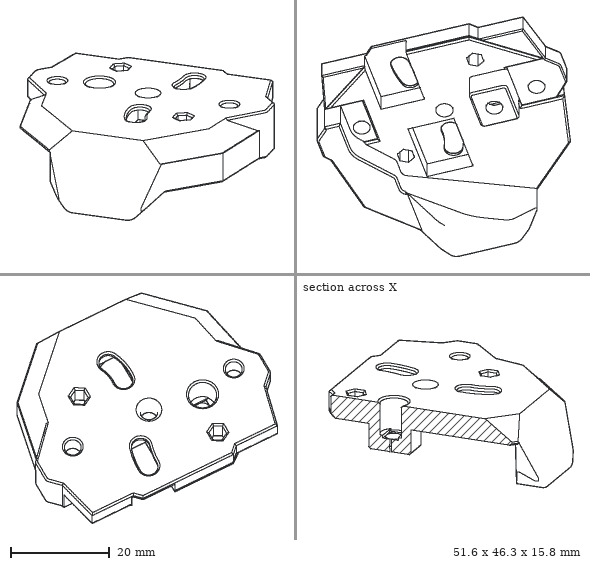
import cadquery as cq
import math

EAR_THICKNESS = 4.4
PLATE_THICKNESS = 5.0
SKIRT_HEIGHT = 4.2
LEG_DEPTH = 10.4
TOTAL_DEPTH = 15.81

HALF_WIDTH = 51.59 / 2
REAR_Y = 16.8
TAB_HALF_WIDTH = 10.35
SHOULDER_Y = 15.33
SHOULDER_HALF_WIDTH = 21.3
NECK = (23.4, 6.5)
EAR_REAR_Y = 4.1
EAR_FRONT_Y = -0.6
EAR_INNER = (19.3, -7.7)
EAR_RADIUS = 1.2

SKIRT_DRAFT = 45
SKIRT_REAR_Y = 3.0
SKIRT_CORNER = (21.85, -15.75)
SKIRT_CORNER_RADIUS = 0.5
SIDE_ANGLE = 11.4
FRONT_TOP_Y = -24.06
FRONT_DRAFT = 20.1
NOSE_Y = -32.0

PAD_CORNER_X = 23.0
PAD_HALF_WIDTH = 15.25
RIM_REAR_Y = -3.7

LEG_REAR_Y = 6.95
BLOCK_FRONT_Y = -2.4
BLOCK_RADIUS = 0.85

BAY_REAR_CORNER = (19.9, -1.5)
BAY_REAR_RADIUS = 5.0
BAY_WALL_X = 13.2
BAY_WALL_REAR_Y = -9.8
BAY_WALL_FRONT_Y = -14.0
BAY_MOUTH = (-12.15, -25.45)
BAY_RADIUS = 1.5
BAY_MOUTH_RADIUS = 0.5

FIN_HALF_WIDTH = 6.9
FIN_RADIUS = 2.7
FIN_REAR_BOTTOM_Y = -19.8
FIN_EDGE_RADIUS = 0.7

TOP_CHAMFER = 0.4
BOTTOM_CHAMFER = 0.4
EAR_BOTTOM_CHAMFER = 0.3
HOLE_CHAMFER = 0.4

LEFT_HOLE_X = -19.5
RIGHT_HOLE_X = 17.5
SIDE_HOLE_DIAMETER = 3.4
CENTRE_HOLE_DIAMETER = 3.5
CENTRE_MOUTH_RADIUS = 2.6
CENTRE_LIP_RADIUS = 0.85
SCREW_POSITION = (-11.2, 2.1)
SCREW_HEAD_DIAMETER = 5.7
SCREW_HEAD_DEPTH = 7.0
SCREW_DIAMETER = 3.4
SCREW_STEP = 0.3
REAR_HEX = (-9.88, 11.03)
FRONT_HEX = (10.99, -9.29)
HEX_ACROSS_FLATS = 3.1
SLOT_WIDTH = 3.8
REAR_SLOT_RADIUS = 15.9
REAR_SLOT_ANGLES = (-17.0, 0.0)
FRONT_SLOT_RADIUS = 9.72
FRONT_SLOT_ANGLES = (175.0, 204.8)

SLOT_FLOOR_THICKNESS = 1.05
REAR_POCKET = ((3.0, 12.2), (4.0, 20.0))
FRONT_POCKET = ((-1.2, 8.5), (-15.8, -2.6))

LEG_TOP_Z = -EAR_THICKNESS + BOTTOM_CHAMFER
FAR = 40.0


def mirrored(right_side):
    """Close an outline given its right half, listed from rear to front."""
    return right_side + [(-x, y) for x, y in reversed(right_side)]


def polar(radius, angle):
    return (radius * math.cos(math.radians(angle)), radius * math.sin(math.radians(angle)))


def rectangle(x_range, y_range):
    x_min, x_max = x_range
    y_min, y_max = y_range
    return [(x_min, y_min), (x_max, y_min), (x_max, y_max), (x_min, y_max)]


def prism(points, z_bottom, z_top):
    base = cq.Workplane("XY").workplane(offset=z_bottom)
    return base.polyline(points).close().extrude(z_top - z_bottom)


def box_around(x, y, reach=0.5):
    """Selector for edges centred near a vertical line."""
    return cq.selectors.BoxSelector((x - reach, y - reach, -FAR), (x + reach, y + reach, FAR))


def skirt_outline(rear_y):
    corner_x, corner_y = SKIRT_CORNER
    rear_x = corner_x + (rear_y - corner_y) * math.tan(math.radians(SIDE_ANGLE))
    nose_x = corner_x - (corner_y - NOSE_Y)
    return mirrored([(rear_x, rear_y), SKIRT_CORNER, (nose_x, NOSE_Y)])


def ear_plate(depth):
    tab_step = REAR_Y - SHOULDER_Y
    outline = mirrored([
        (TAB_HALF_WIDTH, REAR_Y),
        (TAB_HALF_WIDTH + tab_step, SHOULDER_Y),
        (SHOULDER_HALF_WIDTH, SHOULDER_Y),
        NECK,
        (HALF_WIDTH, EAR_REAR_Y),
        (HALF_WIDTH, EAR_FRONT_Y),
        EAR_INNER,
    ])
    plate = prism(outline, -depth, 0)
    for x in (-HALF_WIDTH, HALF_WIDTH):
        for y in (EAR_REAR_Y, EAR_FRONT_Y):
            plate = plate.edges("|Z").edges(box_around(x, y)).fillet(EAR_RADIUS)
    return plate


def front_cutter():
    """Everything in front of the sloped front face."""
    bottom_y = FRONT_TOP_Y - FAR * math.tan(math.radians(FRONT_DRAFT))
    profile = [(FRONT_TOP_Y, 0), (bottom_y, -FAR), (-2 * FAR, -FAR), (-2 * FAR, 0)]
    return cq.Workplane("YZ").polyline(profile).close().extrude(FAR, both=True)


def upper_body():
    ears = ear_plate(EAR_THICKNESS).faces(">Z").chamfer(TOP_CHAMFER)
    ears = ears.faces("<Z").chamfer(EAR_BOTTOM_CHAMFER)
    skirt = (
        cq.Workplane("XY").workplane(offset=-SKIRT_HEIGHT)
        .polyline(skirt_outline(SKIRT_REAR_Y)).close().extrude(SKIRT_HEIGHT, taper=SKIRT_DRAFT)
    )
    rim = prism(skirt_outline(RIM_REAR_Y), -PLATE_THICKNESS, -SKIRT_HEIGHT)
    for side in (-1, 1):
        corner_x, corner_y = (side * SKIRT_CORNER[0], SKIRT_CORNER[1])
        middle = (corner_x - side * SKIRT_HEIGHT / 2, corner_y + SKIRT_HEIGHT / 4)
        skirt = skirt.edges("not #Z").edges(box_around(*middle, reach=2.0)).fillet(SKIRT_CORNER_RADIUS)
        rim = rim.edges("|Z").edges(box_around(corner_x, corner_y)).fillet(SKIRT_CORNER_RADIUS)
    pad_outline = mirrored([
        (TAB_HALF_WIDTH, REAR_Y),
        (PAD_CORNER_X, LEG_REAR_Y),
        (PAD_HALF_WIDTH, LEG_REAR_Y),
        (PAD_HALF_WIDTH, RIM_REAR_Y),
    ])
    pad = prism(pad_outline, -PLATE_THICKNESS, -SKIRT_HEIGHT)
    base = rim.union(pad).faces("<Z").chamfer(BOTTOM_CHAMFER)
    return ears.union(skirt).union(base).cut(front_cutter())


def bay():
    mouth_x, mouth_y = BAY_MOUTH
    wall_slope = (BAY_WALL_FRONT_Y - mouth_y) / (BAY_WALL_X - mouth_x)
    rear_corner_x = BAY_REAR_CORNER[0]
    points = [
        (-FAR, FAR),
        (rear_corner_x, FAR),
        BAY_REAR_CORNER,
        (BAY_WALL_X, BAY_WALL_REAR_Y),
        (BAY_WALL_X, BAY_WALL_FRONT_Y),
        (-FAR, mouth_y - wall_slope * (FAR + mouth_x)),
    ]
    cutter = prism(points, -FAR, 0)
    cutter = cutter.edges("|Z").edges(box_around(*BAY_REAR_CORNER)).fillet(BAY_REAR_RADIUS)
    cutter = cutter.edges("|Z").edges(box_around(BAY_WALL_X, BAY_WALL_REAR_Y)).fillet(BAY_RADIUS)
    return cutter.edges("|Z").edges(box_around(BAY_WALL_X, BAY_WALL_FRONT_Y)).fillet(BAY_RADIUS)


def lower_body(depth):
    """Right leg and nose wall, carried from just inside the plate straight down to a depth."""
    body = ear_plate(depth).union(prism(skirt_outline(SKIRT_REAR_Y), -depth, 0))
    front_zone = rectangle((-FAR, FAR), (-FAR, LEG_REAR_Y))
    body = body.intersect(prism(front_zone, -depth, LEG_TOP_Z)).cut(bay())
    return body.edges("|Z").edges(box_around(*BAY_MOUTH)).fillet(BAY_MOUTH_RADIUS)


def leg():
    return lower_body(LEG_DEPTH).faces("<Z").chamfer(BOTTOM_CHAMFER).cut(front_cutter())


def screw_block():
    left_x = -PAD_HALF_WIDTH
    right_x = 2 * SCREW_POSITION[0] - left_x
    block = prism(rectangle((left_x, right_x), (BLOCK_FRONT_Y, LEG_REAR_Y)), -LEG_DEPTH, LEG_TOP_Z)
    return block.edges("|Z").fillet(BLOCK_RADIUS).faces("<Z").chamfer(BOTTOM_CHAMFER)


def fin():
    """Trapezoid under the nose, with 45 degree flanks and a 45 degree rear underside."""
    rise = TOTAL_DEPTH + LEG_TOP_Z
    section = [
        (-FIN_HALF_WIDTH - rise, LEG_TOP_Z),
        (-FIN_HALF_WIDTH, -TOTAL_DEPTH),
        (FIN_HALF_WIDTH, -TOTAL_DEPTH),
        (FIN_HALF_WIDTH + rise, LEG_TOP_Z),
    ]
    flanks = cq.Workplane("XZ").polyline(section).close().extrude(FAR)
    flanks = flanks.edges("|Y").edges("<Z").fillet(FIN_RADIUS).cut(front_cutter())
    flanks = flanks.faces("<Y").edges("not >Z").fillet(FIN_EDGE_RADIUS)
    side = [
        (-FAR, LEG_TOP_Z),
        (FIN_REAR_BOTTOM_Y + rise, LEG_TOP_Z),
        (FIN_REAR_BOTTOM_Y, -TOTAL_DEPTH),
        (-FAR, -TOTAL_DEPTH),
    ]
    underside = cq.Workplane("YZ").polyline(side).close().extrude(FAR, both=True)
    underside = underside.edges("|X and <Z").edges(">Y").fillet(FIN_RADIUS)
    return lower_body(TOTAL_DEPTH).intersect(flanks).intersect(underside)


def slot_pocket(x_range, y_range):
    return prism(rectangle(x_range, y_range), -PLATE_THICKNESS, -SLOT_FLOOR_THICKNESS)


def chamfered_cutter(outline, depth=FAR):
    """Cutter with a 45 degree flare at the top face; outline(plane, growth) draws its section."""
    shaft = outline(cq.Workplane("XY"), 0).extrude(-depth)
    narrow = outline(cq.Workplane("XY").workplane(offset=-HOLE_CHAMFER), 0)
    flare = outline(narrow.workplane(offset=HOLE_CHAMFER), HOLE_CHAMFER).loft(ruled=True)
    return shaft.union(flare)


def round_hole(position, diameter, depth=FAR):
    def outline(plane, growth):
        return plane.circle(diameter / 2 + growth)

    return chamfered_cutter(outline, depth).translate((*position, 0))


def centre_hole():
    """Bore whose 45 degree countersink runs into it through a rounded lip."""
    radius = CENTRE_HOLE_DIAMETER / 2
    half_turn = math.radians(22.5)
    lip_centre = radius + CENTRE_LIP_RADIUS
    lean = CENTRE_LIP_RADIUS * math.cos(2 * half_turn)
    lip_start = (lip_centre - lean, lip_centre - lean - CENTRE_MOUTH_RADIUS)
    lip_bottom = lip_start[1] - lean
    lip_middle = (
        lip_centre - CENTRE_LIP_RADIUS * math.cos(half_turn),
        lip_bottom + CENTRE_LIP_RADIUS * math.sin(half_turn),
    )
    return (
        cq.Workplane("XZ")
        .moveTo(0, 0)
        .lineTo(CENTRE_MOUTH_RADIUS, 0)
        .lineTo(*lip_start)
        .threePointArc(lip_middle, (radius, lip_bottom))
        .lineTo(radius, -FAR)
        .lineTo(0, -FAR)
        .close()
        .revolve(360, (0, 0), (0, 1))
    )


def screw_hole():
    """Head recess, then a slot and a square step down to the round shank hole."""
    head = round_hole(SCREW_POSITION, SCREW_HEAD_DIAMETER, SCREW_HEAD_DEPTH)
    base = cq.Workplane("XY").center(*SCREW_POSITION)
    slot = base.circle(SCREW_HEAD_DIAMETER / 2).extrude(-SCREW_HEAD_DEPTH - SCREW_STEP)
    slot = slot.intersect(base.rect(SCREW_HEAD_DIAMETER, SCREW_DIAMETER).extrude(-FAR))
    square = base.rect(SCREW_DIAMETER, SCREW_DIAMETER).extrude(-SCREW_HEAD_DEPTH - 2 * SCREW_STEP)
    shank = base.circle(SCREW_DIAMETER / 2).extrude(-FAR)
    return head.union(slot).union(square).union(shank)


def hex_hole(position):
    def outline(plane, growth):
        corner_radius = (HEX_ACROSS_FLATS + 2 * growth) / math.sqrt(3)
        return plane.polyline([polar(corner_radius, 60 * i + 30) for i in range(6)]).close()

    return chamfered_cutter(outline).translate((*position, 0))


def arc_slot(pivot, radius, angles):
    """Slot with round ends, curved about a pivot."""
    start, end = angles
    middle = (start + end) / 2

    def outline(plane, growth):
        half_width = SLOT_WIDTH / 2 + growth
        inner = radius - half_width
        outer = radius + half_width
        start_x, start_y = polar(radius, start)
        end_x, end_y = polar(radius, end)
        start_dx, start_dy = polar(half_width, start - 90)
        end_dx, end_dy = polar(half_width, end + 90)
        return (
            plane.moveTo(*polar(inner, start))
            .threePointArc(polar(inner, middle), polar(inner, end))
            .threePointArc((end_x + end_dx, end_y + end_dy), polar(outer, end))
            .threePointArc(polar(outer, middle), polar(outer, start))
            .threePointArc((start_x + start_dx, start_y + start_dy), polar(inner, start))
            .close()
        )

    return chamfered_cutter(outline).translate((*pivot, 0))


cutters = [
    round_hole((LEFT_HOLE_X, 0), SIDE_HOLE_DIAMETER),
    round_hole((RIGHT_HOLE_X, 0), SIDE_HOLE_DIAMETER),
    centre_hole(),
    screw_hole(),
    hex_hole(REAR_HEX),
    hex_hole(FRONT_HEX),
    slot_pocket(*REAR_POCKET),
    slot_pocket(*FRONT_POCKET),
    arc_slot(REAR_HEX, REAR_SLOT_RADIUS, REAR_SLOT_ANGLES),
    arc_slot(FRONT_HEX, FRONT_SLOT_RADIUS, FRONT_SLOT_ANGLES),
]

result = upper_body().union(leg()).union(screw_block()).union(fin())
for cutter in cutters:
    result = result.cut(cutter)